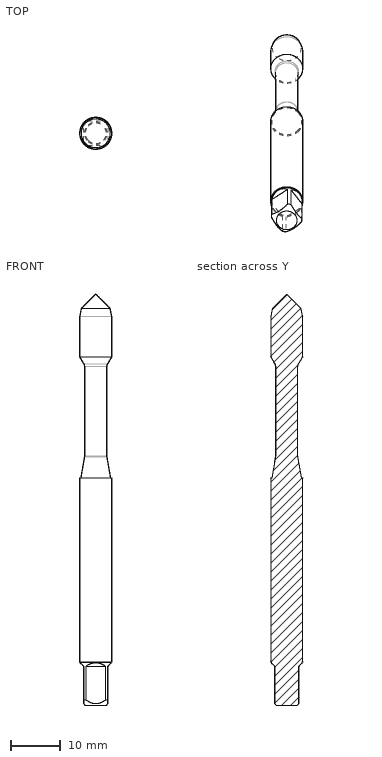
import cadquery as cq
import math

overall_length = 82.66

shank_diameter = 6.48
neck_diameter = 4.51
taper_end_diameter = 6.0
head_diameter = 6.45
head_lead_diameter = 5.8
drive_diameter = 6.22
drive_end_diameter = 4.15

square_width = 4.85
flat_count = 4
flat_length = 7.9
runout_angle = 45.0
drive_chamfer_height = 1.13

shank_bottom = 8.8
shank_top = 45.75
taper_top = 50.0
neck_top = 68.35
head_bottom = 70.0
head_top = 78.08

tip_half_angle = 45.0
tip_height = head_lead_diameter / 2 / math.tan(math.radians(tip_half_angle))
tip_base = overall_length - tip_height

shank_chamfer_height = (shank_diameter - drive_diameter) / 2
neck_fillet_radius = 1.0


def turned_body():
    """Revolve the stepped profile from the drive end up to the pointed tip."""
    profile = [
        (0, 0),
        (drive_end_diameter / 2, 0),
        (drive_diameter / 2, drive_chamfer_height),
        (drive_diameter / 2, shank_bottom - shank_chamfer_height),
        (shank_diameter / 2, shank_bottom),
        (shank_diameter / 2, shank_top),
        (taper_end_diameter / 2, shank_top),
        (neck_diameter / 2, taper_top),
        (neck_diameter / 2, neck_top),
        (head_diameter / 2, head_bottom),
        (head_diameter / 2, head_top),
        (head_lead_diameter / 2, tip_base),
        (0, overall_length),
    ]
    return cq.Workplane("XZ").polyline(profile).close().revolve(360, (0, 0), (0, 1))


def round_neck_ends(body):
    """Fillet the inside corners where the neck meets the shank taper and the head cone."""
    reach = shank_diameter
    margin = 0.1
    neck_zone = cq.selectors.BoxSelector(
        (-reach, -reach, taper_top - margin),
        (reach, reach, neck_top + margin),
    )
    return body.edges("%CIRCLE").edges(neck_zone).fillet(neck_fillet_radius)


def flat_cutter():
    """Prism that mills the flat on the +X side, with a sloped runout up to the shank."""
    inner = square_width / 2
    outer = shank_diameter
    runout_height = (outer - inner) * math.tan(math.radians(runout_angle))
    section = [
        (inner, 0),
        (inner, flat_length),
        (outer, flat_length + runout_height),
        (outer, 0),
    ]
    return cq.Workplane("XZ").polyline(section).close().extrude(shank_diameter / 2, both=True)


def mill_square(body):
    """Cut the evenly spaced flats that form the square drive."""
    for flat in range(flat_count):
        angle = flat * 360 / flat_count
        body = body.cut(flat_cutter().rotate((0, 0, 0), (0, 0, 1), angle))
    return body


result = mill_square(round_neck_ends(turned_body()))